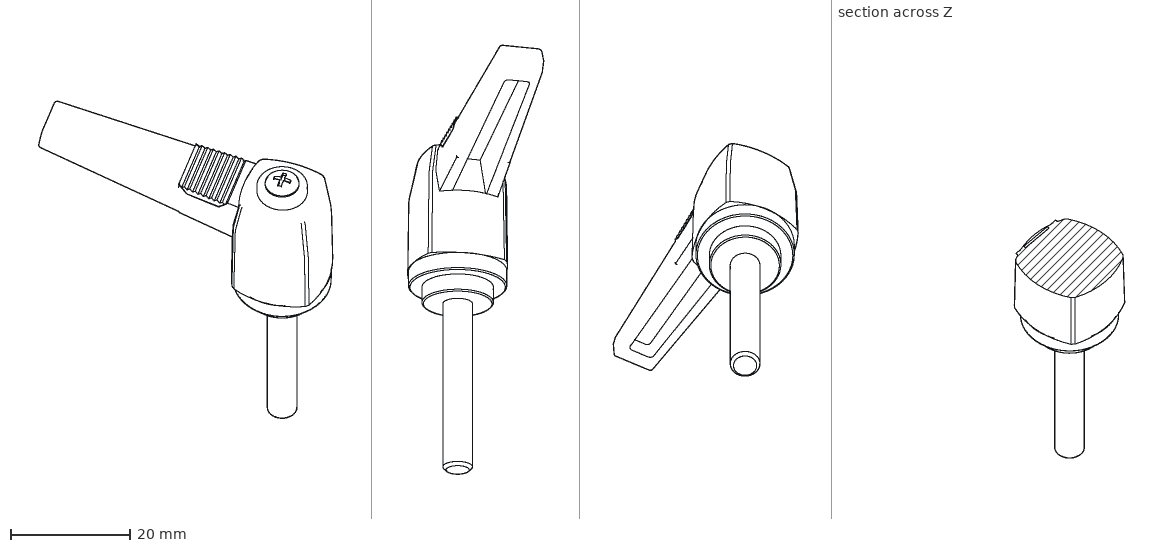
import cadquery as cq
import math


stud_diameter = 5.0
stud_length = 30.0
stud_chamfer = 0.55
shoulder_diameter = 12.0
shoulder_height = 3.0
collar_diameter = 16.5
collar_height = 3.0
turned_chamfer = 0.25

hub_bottom = shoulder_height + collar_height
hub_bottom_bulge = 8.14
hub_bottom_corner = 6.3
hub_break_bulge = 8.03
hub_break_corner = 6.1
hub_top_bulge = 6.5
hub_top_corner = 5.25
hub_corner_flat = 0.5
hub_top_height = 25.9
hub_top_slope = math.tan(math.radians(1.8))
hub_top_fillet = 0.45

cap_diameter = 8.5
cap_shoulder_height = 27.05
cap_rim_diameter = 7.7
cap_land_diameter = 6.6
cap_top = 27.6
screw_diameter = 5.7
screw_rim_height = 0.3
screw_top = 29.02
recess_length = 2.9
recess_width = 0.65
recess_depth = 0.8

top_height = 24.04
top_slope = math.tan(math.radians(9.4))
parting_height = 19.43
parting_slope = math.tan(math.radians(12.25))
bottom_height = 15.25
bottom_slope = math.tan(math.radians(14.3))
handle_reach = 41.94
handle_half_width = 5.96
handle_side_taper = 0.0488
handle_draft = math.tan(math.radians(8.0))
handle_top_fillet = 0.95
handle_tip_corner_fillet = 0.5
handle_bottom_fillet = 0.4

grip_start = -16.7
grip_end = -8.0
tooth_count = 8
tooth_depth = 0.5
grip_start_bevel = 0.55
grip_end_bevel = 0.35
pad_depth = 1.5
pad_bevel = 1.5
pad_draft_angle = 4.0
pad_half_width = 5.66
pad_side_taper = 0.042

pocket_start = -39.0
pocket_end = -7.2
pocket_corner_fillet = 0.7
pocket_half_width = 3.15
pocket_side_taper = 0.025
pocket_draft = math.tan(math.radians(9.0))
roof_thickness = 1.85


def top_z(x):
    return top_height - top_slope * x


def parting_z(x):
    return parting_height - parting_slope * x


def bottom_z(x):
    return bottom_height - bottom_slope * x


def ruled_loft(first_wire, second_wire):
    return cq.Workplane(obj=cq.Solid.makeLoft([first_wire, second_wire], True))


def hub_ring(axis_height, slope, bulge, corner):
    """Closed outline of the hub on a plane that falls toward +X by the given slope."""

    def point(x, y):
        return cq.Vector(x, y, axis_height - slope * x)

    side = corner + hub_corner_flat
    edges = []
    for quarter in range(4):
        c = round(math.cos(quarter * math.pi / 2))
        s = round(math.sin(quarter * math.pi / 2))

        def turned(x, y):
            return point(c * x - s * y, s * x + c * y)

        edges.append(cq.Edge.makeThreePointArc(turned(side, -corner), turned(bulge, 0), turned(side, corner)))
        edges.append(cq.Edge.makeLine(turned(side, corner), turned(corner, side)))
    return cq.Wire.assembleEdges(edges)


def make_hub():
    bottom_ring = hub_ring(hub_bottom, 0, hub_bottom_bulge, hub_bottom_corner)
    break_ring = hub_ring(parting_height, parting_slope, hub_break_bulge, hub_break_corner)
    top_ring = hub_ring(hub_top_height, hub_top_slope, hub_top_bulge, hub_top_corner)
    upper = ruled_loft(break_ring, top_ring).faces(">Z").edges().fillet(hub_top_fillet)
    return ruled_loft(bottom_ring, break_ring).union(upper)


def make_turned_base():
    stud = cq.Workplane("XY").circle(stud_diameter / 2).extrude(-stud_length)
    stud = stud.faces("<Z").chamfer(stud_chamfer)
    shoulder = cq.Workplane("XY").circle(shoulder_diameter / 2).extrude(shoulder_height)
    shoulder = shoulder.faces("<Z").chamfer(turned_chamfer)
    collar = cq.Workplane("XY", origin=(0, 0, shoulder_height)).circle(collar_diameter / 2)
    collar = collar.extrude(collar_height).faces("<Z").chamfer(turned_chamfer)
    return stud.union(shoulder).union(collar)


def make_cap():
    """Disc with a rounded rim and a faint cone rising to the land under the screw head."""
    radius = cap_diameter / 2
    rim_radius = cap_rim_diameter / 2
    rim_round = radius - rim_radius
    rim_offset = rim_round * math.sqrt(0.5)
    profile = (
        cq.Workplane("XZ")
        .moveTo(0, hub_bottom)
        .lineTo(radius, hub_bottom)
        .lineTo(radius, cap_shoulder_height)
        .threePointArc(
            (rim_radius + rim_offset, cap_shoulder_height + rim_offset),
            (rim_radius, cap_shoulder_height + rim_round),
        )
        .lineTo(cap_land_diameter / 2, cap_top)
        .lineTo(0, cap_top)
        .close()
    )
    return profile.revolve(360, (0, 0, 0), (0, 1, 0))


def make_screw_head():
    radius = screw_diameter / 2
    rim_top = cap_top + screw_rim_height
    dome_rise = screw_top - rim_top
    dome_radius = (radius**2 + dome_rise**2) / (2 * dome_rise)
    dome_mid_x = radius / 2
    dome_mid_z = screw_top - dome_radius + math.sqrt(dome_radius**2 - dome_mid_x**2)
    profile = (
        cq.Workplane("XZ")
        .moveTo(0, cap_top)
        .lineTo(radius, cap_top)
        .lineTo(radius, rim_top)
        .threePointArc((dome_mid_x, dome_mid_z), (0, screw_top))
        .close()
    )
    head = profile.revolve(360, (0, 0, 0), (0, 1, 0))
    recess_plane = cq.Workplane("XY", origin=(0, 0, screw_top - recess_depth))
    for length, width in ((recess_length, recess_width), (recess_width, recess_length)):
        head = head.cut(recess_plane.rect(length, width).extrude(recess_depth))
    return head


def handle_section(stations):
    """Six-sided cross-section through the bottom, parting and top levels at the given X stations."""
    x_bottom, x_parting, x_top = stations

    def half_width(x, z):
        return handle_half_width + handle_side_taper * x - handle_draft * abs(z - parting_z(x))

    corners = [
        (x_bottom, half_width(x_bottom, bottom_z(x_bottom)), bottom_z(x_bottom)),
        (x_parting, half_width(x_parting, parting_z(x_parting)), parting_z(x_parting)),
        (x_top, half_width(x_top, top_z(x_top)), top_z(x_top)),
    ]
    mirrored = [(x, -y, z) for x, y, z in reversed(corners)]
    return corners + mirrored


def flat_face(points):
    return cq.Face.makeFromWires(cq.Wire.makePolygon([cq.Vector(*p) for p in points], close=True))


def flat_sided_solid(first_section, second_section):
    """Solid whose flat faces join two sections with the same number of corners."""
    faces = [flat_face(first_section), flat_face(second_section)]
    for i in range(len(first_section)):
        side = [first_section[i - 1], first_section[i], second_section[i], second_section[i - 1]]
        faces.append(flat_face(side))
    return cq.Workplane(obj=cq.Solid.makeSolid(cq.Shell.makeShell(faces)).fix())


def tip_station(height, slope):
    """X where a handle level meets the tip face, which stands square to the handle top."""
    x_bottom = -handle_reach
    z_bottom = bottom_z(x_bottom)
    return (x_bottom + top_slope * (height - z_bottom)) / (1 + top_slope * slope)


def make_handle_bar():
    tip_stations = (
        -handle_reach,
        tip_station(parting_height, parting_slope),
        tip_station(top_height, top_slope),
    )
    bar = flat_sided_solid(handle_section(tip_stations), handle_section((0, 0, 0)))
    top_middle = -handle_reach / 2
    top_face = cq.NearestToPointSelector((top_middle, 0, top_z(top_middle)))
    rounded = bar.faces(top_face).edges("not >X").fillet(handle_top_fillet)
    rounded = rounded.faces("<X").edges("not |Y").fillet(handle_tip_corner_fillet)
    underside = cq.NearestToPointSelector((top_middle, 0, bottom_z(top_middle)))
    rounded = rounded.faces(underside).edges("not >X").fillet(handle_bottom_fillet)
    sharp_length = -grip_start
    sharp_zone = cq.Workplane("XY", origin=(grip_start / 2, 0, 0))
    sharp_zone = sharp_zone.rect(sharp_length, 2 * handle_half_width).extrude(2 * top_height)
    return rounded.union(bar.intersect(sharp_zone))


def prism_along_y(points, half_width):
    return cq.Workplane("XZ").polyline(points).close().extrude(half_width, both=True)


def add_grip(bar):
    """Add a slightly proud pad to the handle top and cut a row of teeth across it."""
    pad_points = [
        (grip_start, top_z(grip_start)),
        (grip_start + pad_bevel, top_z(grip_start + pad_bevel) - pad_depth),
        (grip_end - pad_bevel, top_z(grip_end - pad_bevel) - pad_depth),
        (grip_end, top_z(grip_end)),
    ]
    plan_start = grip_start - pad_bevel
    plan_end = grip_end + pad_bevel
    start_half = pad_half_width + pad_side_taper * plan_start
    end_half = pad_half_width + pad_side_taper * plan_end
    plan = [(plan_start, -start_half), (plan_end, -end_half), (plan_end, end_half), (plan_start, start_half)]
    plan_block = cq.Workplane("XY", origin=(0, 0, top_z(grip_end) - pad_depth)).polyline(plan).close()
    plan_block = plan_block.extrude(top_z(grip_start) - top_z(grip_end) + pad_depth, taper=pad_draft_angle)
    pad = prism_along_y(pad_points, handle_half_width).intersect(plan_block)

    first_valley = grip_start + grip_start_bevel
    last_valley = grip_end - grip_end_bevel
    pitch = (last_valley - first_valley) / tooth_count
    teeth_outline = [(grip_start, top_z(grip_start)), (first_valley, top_z(first_valley) - tooth_depth)]
    for tooth in range(tooth_count):
        peak = first_valley + (tooth + 0.5) * pitch
        valley = first_valley + (tooth + 1) * pitch
        teeth_outline.append((peak, top_z(peak)))
        teeth_outline.append((valley, top_z(valley) - tooth_depth))
    teeth_outline.append((grip_end, top_z(grip_end)))
    clearance = top_z(grip_start) + tooth_depth
    teeth_outline += [(grip_end, clearance), (grip_start, clearance)]
    return bar.union(pad).cut(prism_along_y(teeth_outline, handle_half_width))


def pocket_section(x):
    """Trapezium from the handle underside up to the pocket roof."""
    z_floor = bottom_z(x)
    z_roof = top_z(x) - roof_thickness
    floor_half = pocket_half_width + pocket_side_taper * x
    roof_half = floor_half - pocket_draft * (z_roof - z_floor)
    points = [(floor_half, z_floor), (roof_half, z_roof), (-roof_half, z_roof), (-floor_half, z_floor)]
    return [(x, y, z) for y, z in points]


def make_pocket():
    pocket = flat_sided_solid(pocket_section(pocket_start), pocket_section(pocket_end))
    return pocket.faces("<X").edges("not |Y").fillet(pocket_corner_fillet)


handle = add_grip(make_handle_bar())
result = handle.union(make_hub()).cut(make_pocket())
for upright_part in (make_turned_base(), make_cap(), make_screw_head()):
    result = result.union(upright_part)